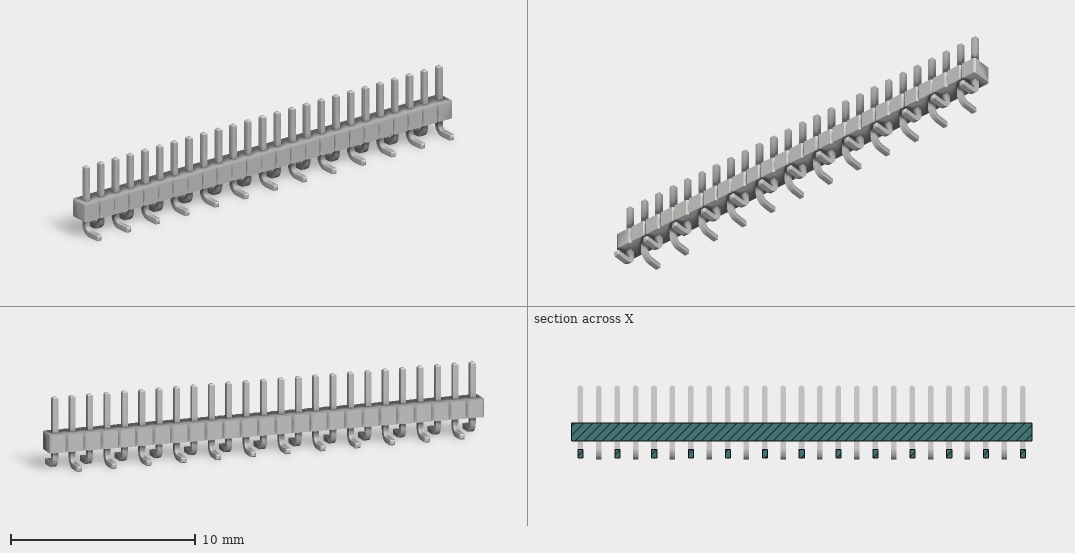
import cadquery as cq


pin_count = 25
pitch = 1.0

body_width = 1.27
body_height = 1.0
body_bottom = 1.0
corner_chamfer = 0.1

pin_thickness = 0.3
total_height = 4.0
foot_span = 2.5
bend_inner_radius = 0.3
tip_chamfer = pin_thickness / 4

half_thickness = pin_thickness / 2
foot_reach = foot_span / 2
bend_mid_radius = bend_inner_radius + half_thickness
bend_center_z = half_thickness + bend_mid_radius


def make_body_cell(y):
    """One pitch of the body, with its four vertical edges chamfered to form the notches."""
    return (
        cq.Workplane("XY")
        .box(body_width, pitch, body_height, centered=(True, True, False))
        .edges("|Z")
        .chamfer(corner_chamfer)
        .translate((0, y, body_bottom))
    )


def make_pin():
    """Square pin bent into a foot that points along +X, with tapered ends."""
    path = (
        cq.Workplane("XZ")
        .moveTo(0, total_height)
        .lineTo(0, bend_center_z)
        .radiusArc((bend_mid_radius, half_thickness), -bend_mid_radius)
        .lineTo(foot_reach, half_thickness)
    )
    pin = (
        cq.Workplane("XY")
        .workplane(offset=total_height)
        .rect(pin_thickness, pin_thickness)
        .sweep(path)
    )
    pin = pin.faces(">Z").chamfer(tip_chamfer)
    return pin.faces(">X").chamfer(tip_chamfer)


right_pin = make_pin()
left_pin = right_pin.rotate((0, 0, 0), (0, 0, 1), 180)

result = None
for index in range(pin_count):
    y = (index - (pin_count - 1) / 2) * pitch
    pin = right_pin if index % 2 == 0 else left_pin
    cell = make_body_cell(y).union(pin.translate((0, y, 0)))
    result = cell if result is None else result.union(cell)

result = result.clean()